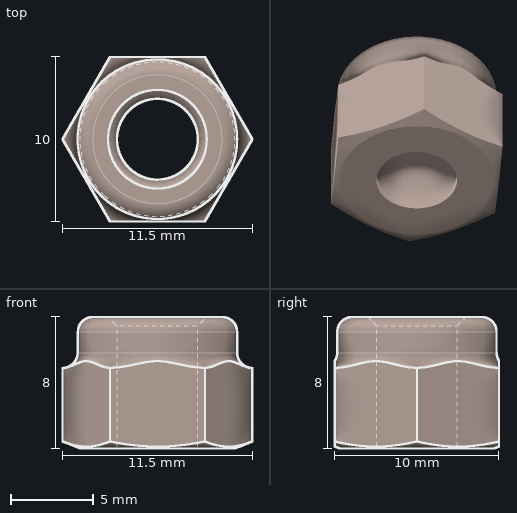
import cadquery as cq
import math

across_flats = 10.0
corner_radius = across_flats / math.sqrt(3)
height = 8.0

collar_radius = 4.85
collar_bottom_z = 5.82
collar_edge_radius = 0.93
neck_radius = corner_radius - collar_radius

bottom_face_radius = 4.7
bottom_corner_z = 0.43

bore_radius = 2.45
countersink_radius = 3.0
countersink_depth = countersink_radius - bore_radius


def hexagonal_prism():
    """Full-height hexagon with its corners on the X axis."""
    return cq.Workplane("XY").polygon(6, 2 * corner_radius).extrude(height)


def turned_envelope():
    """Turned body that shapes the collar, the neck and the bottom corners."""
    diagonal = math.sqrt(0.5)
    neck_middle = (
        corner_radius - neck_radius * diagonal,
        collar_bottom_z - neck_radius * diagonal,
    )
    edge_center_r = collar_radius - collar_edge_radius
    edge_center_z = height - collar_edge_radius
    edge_middle = (
        edge_center_r + collar_edge_radius * diagonal,
        edge_center_z + collar_edge_radius * diagonal,
    )
    profile = (
        cq.Workplane("XZ")
        .lineTo(bottom_face_radius, 0)
        .lineTo(corner_radius, bottom_corner_z)
        .lineTo(corner_radius, collar_bottom_z - neck_radius)
        .threePointArc(neck_middle, (collar_radius, collar_bottom_z))
        .lineTo(collar_radius, edge_center_z)
        .threePointArc(edge_middle, (edge_center_r, height))
        .lineTo(0, height)
        .close()
    )
    return profile.revolve(360, (0, 0, 0), (0, 1, 0))


def countersunk_bore():
    """Cutting body for the through hole and its countersink."""
    profile = (
        cq.Workplane("XZ")
        .lineTo(bore_radius, 0)
        .lineTo(bore_radius, height - countersink_depth)
        .lineTo(countersink_radius, height)
        .lineTo(0, height)
        .close()
    )
    return profile.revolve(360, (0, 0, 0), (0, 1, 0))


result = hexagonal_prism().intersect(turned_envelope()).cut(countersunk_bore())